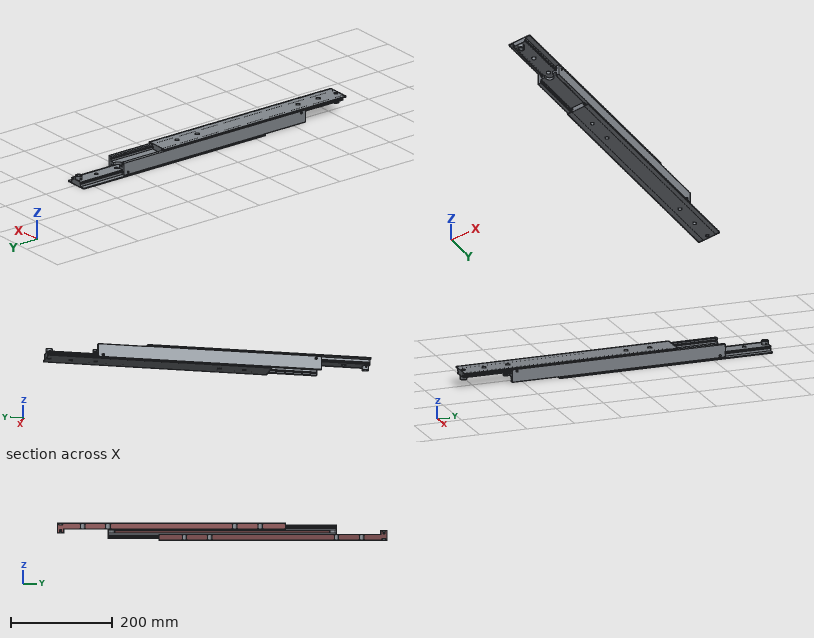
import cadquery as cq

total_length = 650.0
rail_length = 450.0
rail_width = 50.0
half_height = 17.0
half_length = total_length / 2
half_width = rail_width / 2

plate_thickness = 2.0
bar_half_width = 15.0
bar_inner_z = 5.0
plate_inner_z = half_height - plate_thickness

groove_z = 8.5
groove_half_opening = 1.6
groove_half_root = 1.0
bar_groove_depth = 2.3
flange_groove_depth = 1.0

hole_spacing = 50.0
first_hole_pair = hole_spacing
second_hole_pair = 350.0
hole_offsets = [
    first_hole_pair,
    first_hole_pair + hole_spacing,
    second_hole_pair,
    second_hole_pair + hole_spacing,
]
upper_hole_diameter = 8.5
lower_hole_diameter = 7.0

boss_radius = 6.5
boss_inner_z = -2.5
boss_socket_diameter = 2.5
boss_socket_depth = 6.5
boss_countersink_diameter = 8.5
countersink_angle = 90
cross_hole_diameter = 2.0
cross_hole_z = 2.5
end_hole_diameter = 7.0
end_hole_depth = 3.0

middle_half_height = 13.0
web_half_thickness = 2.9
flange_inner_x = 18.0
notch_radius = 9.0
notch_depth = 13.0
stop_hole_diameter = 4.0
stop_hole_inset = 10.5
stop_hole_z = 9.0


def extrude_along_y(outline, y_start, length):
    """Extrude a closed list of (x, z) points from y_start toward +Y."""
    return cq.Workplane("XZ", origin=(0, y_start, 0)).polyline(outline).close().extrude(-length)


def mirrored(half_outline):
    """Close a right-hand half outline with its mirror image about X = 0."""
    return half_outline + [(-x, z) for x, z in reversed(half_outline)]


def cylinder_down(y, z_top, diameter, depth):
    """A vertical cylinder on the centre plane, hanging down from z_top."""
    return cq.Workplane("XY", origin=(0, y, z_top)).circle(diameter / 2).extrude(-depth)


def make_outer_rail(hole_diameter):
    """Outer rail in its upper position, with its stop boss at the -Y end."""
    outline = mirrored([
        (half_width, half_height),
        (half_width, plate_inner_z),
        (bar_half_width, plate_inner_z),
        (bar_half_width, groove_z + groove_half_opening),
        (bar_half_width - bar_groove_depth, groove_z + groove_half_root),
        (bar_half_width - bar_groove_depth, groove_z - groove_half_root),
        (bar_half_width, groove_z - groove_half_opening),
        (bar_half_width, bar_inner_z),
    ])
    rail = extrude_along_y(outline, -half_length, rail_length)

    hole_points = [(0, offset - half_length) for offset in hole_offsets]
    rail = rail.faces(">Z").workplane(origin=(0, 0, half_height)).pushPoints(hole_points).hole(hole_diameter)

    boss_y = boss_radius - half_length
    boss = cylinder_down(boss_y, bar_inner_z, 2 * boss_radius, bar_inner_z - boss_inner_z)
    rail = rail.union(boss)
    rail = (
        rail.faces("<Z").workplane(origin=(0, boss_y, boss_inner_z))
        .cskHole(boss_socket_diameter, boss_countersink_diameter, countersink_angle, boss_socket_depth)
    )

    cross_hole = (
        cq.Workplane("YZ", origin=(-boss_radius, boss_y, cross_hole_z))
        .circle(cross_hole_diameter / 2)
        .extrude(2 * boss_radius)
    )
    rail = rail.cut(cross_hole)

    return rail.cut(cylinder_down(boss_y, half_height, end_hole_diameter, end_hole_depth))


def make_middle_rail():
    """H-shaped rail with a ball groove in each inner flange face."""
    upper_half = [
        (half_width, middle_half_height),
        (flange_inner_x, middle_half_height),
        (flange_inner_x, groove_z + groove_half_opening),
        (flange_inner_x + flange_groove_depth, groove_z + groove_half_root),
        (flange_inner_x + flange_groove_depth, groove_z - groove_half_root),
        (flange_inner_x, groove_z - groove_half_opening),
        (flange_inner_x, web_half_thickness),
    ]
    lower_half = [(x, -z) for x, z in reversed(upper_half)]
    right = extrude_along_y(upper_half + lower_half, -rail_length / 2, rail_length)
    web = cq.Workplane("XY").box(2 * flange_inner_x, rail_length, 2 * web_half_thickness)
    rail = right.union(right.mirror("YZ")).union(web)

    for end in (-1, 1):
        end_y = end * rail_length / 2

        arc_y = end_y - end * (notch_depth - notch_radius)
        notch = (
            cq.Workplane("XY", origin=(0, 0, -web_half_thickness))
            .moveTo(-notch_radius, end_y)
            .lineTo(-notch_radius, arc_y)
            .threePointArc((0, end_y - end * notch_depth), (notch_radius, arc_y))
            .lineTo(notch_radius, end_y)
            .close()
            .extrude(2 * web_half_thickness)
        )

        stop_hole = (
            cq.Workplane("YZ", origin=(-half_width, end_y - end * stop_hole_inset, -end * stop_hole_z))
            .circle(stop_hole_diameter / 2)
            .extrude(rail_width)
        )
        rail = rail.cut(notch).cut(stop_hole)
    return rail


upper_rail = make_outer_rail(upper_hole_diameter)
lower_rail = make_outer_rail(lower_hole_diameter).rotate((0, 0, 0), (1, 0, 0), 180)
middle_rail = make_middle_rail()

result = cq.Compound.makeCompound([upper_rail.val(), lower_rail.val(), middle_rail.val()])